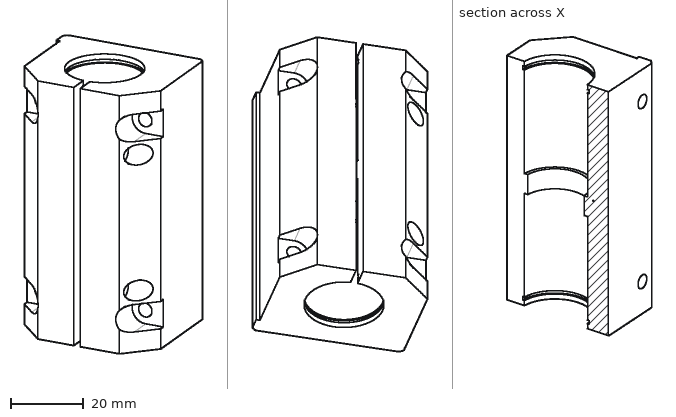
import cadquery as cq

length = 76.0
overall_width = 43.0
overall_depth = 35.0
half_width = overall_width / 2
back_y = 18.2
front_y = back_y - overall_depth
back_chamfer = 1.1
step_depth = 1.1
step_length = 5.1
front_chamfer = 8.4
left_x = -half_width + step_depth

bore_diameter = 22.0
land_diameter = 19.8
land_length = 6.2
groove_inset = 1.6
groove_diameter = 23.1
groove_width = 1.1
slit_width = 2.0

screw_diameter = 4.1
screw_spacing_x = 31.9
screw_spacing_z = 56.0
head_width = 8.05
head_pocket_depth = 10.0
head_seat_y = front_y + head_pocket_depth

clamp_diameter = 6.0
clamp_spacing_z = 40.0
clamp_from_front = 3.9
clamp_depth = 9.1


def make_block():
    outline = [
        (-half_width + back_chamfer, back_y),
        (half_width - back_chamfer, back_y),
        (half_width, back_y - back_chamfer),
        (half_width, front_y + front_chamfer),
        (half_width - front_chamfer, front_y),
        (left_x + front_chamfer, front_y),
        (left_x, front_y + front_chamfer),
        (left_x, back_y - step_length),
        (-half_width, back_y - step_length),
        (-half_width, back_y - back_chamfer),
    ]
    return cq.Workplane("XY").polyline(outline).close().extrude(length / 2, both=True)


def bore_section(diameter, bottom, height):
    return cq.Workplane("XY").workplane(offset=bottom).circle(diameter / 2).extrude(height)


def cut_bore(body):
    bearing_seat_length = (length - land_length) / 2
    body = body.cut(bore_section(land_diameter, -length / 2, length))
    for bottom in (-length / 2, land_length / 2):
        body = body.cut(bore_section(bore_diameter, bottom, bearing_seat_length))
    upper_groove_bottom = length / 2 - groove_inset - groove_width
    for bottom in (-length / 2 + groove_inset, upper_groove_bottom):
        body = body.cut(bore_section(groove_diameter, bottom, groove_width))
    slit = cq.Workplane("XY").box(slit_width, -front_y, length)
    return body.cut(slit.translate((0, front_y / 2, 0)))


def cut_mounting_screw(body, side, z):
    """Clearance hole with a head pocket that runs out through the side wall."""
    x = side * screw_spacing_x / 2
    hole = cq.Workplane("XZ").center(x, z).circle(screw_diameter / 2).extrude(overall_depth, both=True)
    seat = cq.Workplane("XZ", origin=(0, head_seat_y, 0)).center(x, z)
    pocket = seat.circle(head_width / 2).extrude(head_pocket_depth)
    runout = seat.center(side * half_width / 2, 0).rect(half_width, head_width).extrude(head_pocket_depth)
    return body.cut(hole).cut(pocket).cut(runout)


def cut_clamp_recess(body, z):
    recess = (
        cq.Workplane("YZ", origin=(half_width - clamp_depth, 0, 0))
        .center(front_y + clamp_from_front, z)
        .circle(clamp_diameter / 2)
        .extrude(clamp_depth)
    )
    return body.cut(recess)


result = cut_bore(make_block())
for end in (-1, 1):
    for side in (-1, 1):
        result = cut_mounting_screw(result, side, end * screw_spacing_z / 2)
    result = cut_clamp_recess(result, end * clamp_spacing_z / 2)